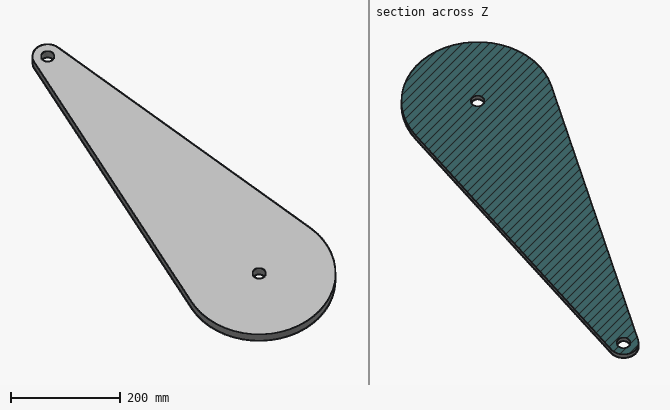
import cadquery as cq
import math

length = 798.0
width = 280.0
thickness = 20.0

large_radius = width / 2
small_radius = 28.0
hole_diameter = 24.0

center_distance = length - large_radius - small_radius
taper_angle = math.asin((large_radius - small_radius) / center_distance)


def tangent_point(center_x, radius):
    """Point where the upper straight side touches an end circle."""
    return (
        center_x - radius * math.sin(taper_angle),
        radius * math.cos(taper_angle),
    )


small_x, small_y = tangent_point(0, small_radius)
large_x, large_y = tangent_point(center_distance, large_radius)

plate = (
    cq.Workplane("XY")
    .moveTo(small_x, small_y)
    .lineTo(large_x, large_y)
    .threePointArc((center_distance + large_radius, 0), (large_x, -large_y))
    .lineTo(small_x, -small_y)
    .threePointArc((-small_radius, 0), (small_x, small_y))
    .close()
    .extrude(thickness)
)

result = (
    plate.faces(">Z")
    .workplane(origin=(0, 0, thickness))
    .pushPoints([(0, 0), (center_distance, 0)])
    .hole(hole_diameter)
)